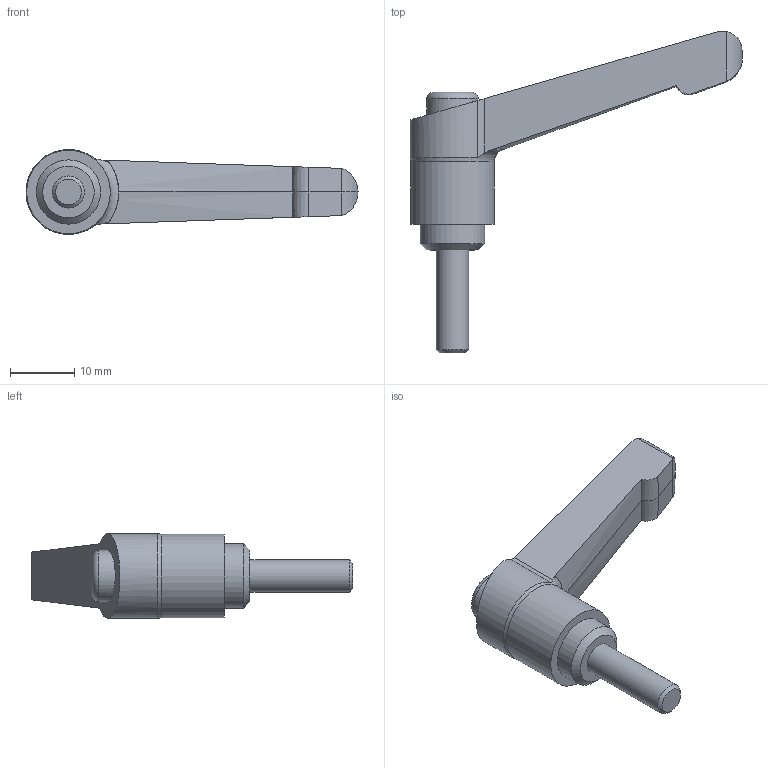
import cadquery as cq
import math


STUD_RADIUS = 2.5
STUD_TIP_Y = -20.0
STUD_CHAMFER = 0.5
COLLAR_RADIUS = 5.0
COLLAR_HEIGHT = 4.0
COLLAR_CHAMFER = 1.0

LOWER_HUB_RADIUS = 6.5
UPPER_HUB_RADIUS = 6.6
FLARE_START_Y = 9.7
FLARE_RADIUS = 2.0

BUTTON_RADIUS = 4.0
BUTTON_TOP_Y = 20.5
BUTTON_FILLET = 1.0

TIP_X = 45.0
TOP_Y_AT_AXIS = 18.1
TOP_SLOPE = math.radians(16)
RIDGE_SLOPE = math.radians(20)
HALF_WIDTH_AT_AXIS = 5.15
SIDE_TAPER = math.radians(2)
TIP_PLAN_RADIUS = 4.0
TIP_TOP_FILLET = 3.0
HUB_SIDE_FILLET = 2.0
SIDE_EDGE_RISE_AT_AXIS = 0.72
SIDE_EDGE_RISE_AT_PAD = 0.08

PAD_NOSE_RADIUS = 2.0
PAD_END_RADIUS = 4.0
PAD_CENTER_X = 36.7
PAD_CENTER_Y = 22.1
PAD_DRAFT_DEGREES = 1.5
PAD_END_CLEARANCE = 0.05

OVERRUN = 5.0
CEILING_Y = TOP_Y_AT_AXIS + (TIP_X + OVERRUN) * math.tan(TOP_SLOPE)

FLARE_END_X = LOWER_HUB_RADIUS + FLARE_RADIUS * (1 - math.sin(RIDGE_SLOPE))
FLARE_END_Y = FLARE_START_Y + FLARE_RADIUS * math.cos(RIDGE_SLOPE)
FLARE_MID_ANGLE = (math.pi / 2 - RIDGE_SLOPE) / 2

PAD_FLAT_X = PAD_CENTER_X + PAD_NOSE_RADIUS * math.sin(RIDGE_SLOPE)
PAD_FLAT_Y = PAD_CENTER_Y - PAD_NOSE_RADIUS * math.cos(RIDGE_SLOPE)


def top_y(x):
    return TOP_Y_AT_AXIS + x * math.tan(TOP_SLOPE)


def ridge_y(x):
    return FLARE_END_Y + (x - FLARE_END_X) * math.tan(RIDGE_SLOPE)


def pad_flat_y(x):
    return PAD_FLAT_Y + (x - PAD_FLAT_X) * math.tan(RIDGE_SLOPE)


def half_width(x):
    return HALF_WIDTH_AT_AXIS - x * math.tan(SIDE_TAPER)


def cylinder_along_y(radius, start_y, end_y):
    axis = cq.Vector(0, 1, 0)
    base = cq.Vector(0, start_y, 0)
    return cq.Workplane(cq.Solid.makeCylinder(radius, end_y - start_y, base, axis))


def make_stud():
    collar = cylinder_along_y(COLLAR_RADIUS, -COLLAR_HEIGHT, FLARE_START_Y)
    collar = collar.faces("<Y").chamfer(COLLAR_CHAMFER)
    stud = cylinder_along_y(STUD_RADIUS, STUD_TIP_Y, 0)
    return collar.union(stud.faces("<Y").chamfer(STUD_CHAMFER))


def make_button():
    button = cylinder_along_y(BUTTON_RADIUS, FLARE_START_Y, BUTTON_TOP_Y)
    return button.faces(">Y").edges().fillet(BUTTON_FILLET)


def make_plan_prism():
    """Outline of hub and arm seen along Y, extruded over the full height."""
    tip_center_x = TIP_X - TIP_PLAN_RADIUS
    side_distance = half_width(tip_center_x) * math.cos(SIDE_TAPER)
    corner_angle = math.asin(side_distance / TIP_PLAN_RADIUS) - SIDE_TAPER
    corner_x = tip_center_x + TIP_PLAN_RADIUS * math.cos(corner_angle)
    arm = (
        cq.Workplane("XZ")
        .moveTo(0, -half_width(0))
        .lineTo(corner_x, -half_width(corner_x))
        .threePointArc((TIP_X, 0), (corner_x, half_width(corner_x)))
        .lineTo(0, half_width(0))
        .close()
        .extrude(-CEILING_Y)
    )
    hub = cylinder_along_y(UPPER_HUB_RADIUS, 0, CEILING_Y)
    box_start = (0, 0, -UPPER_HUB_RADIUS)
    box_end = (UPPER_HUB_RADIUS, CEILING_Y, UPPER_HUB_RADIUS)
    arm_roots = cq.selectors.BoxSelector(box_start, box_end)
    return hub.union(arm).edges("|Y").edges(arm_roots).fillet(HUB_SIDE_FILLET)


def make_side_prism():
    """Sloped top and rounded upper tip corner of the arm, extruded across the full width."""
    start_x = -UPPER_HUB_RADIUS - OVERRUN
    return (
        cq.Workplane("XY")
        .moveTo(start_x, -OVERRUN)
        .lineTo(TIP_X, -OVERRUN)
        .lineTo(TIP_X, top_y(TIP_X))
        .lineTo(start_x, top_y(start_x))
        .close()
        .extrude(UPPER_HUB_RADIUS + OVERRUN, both=True)
        .edges("|Z and >X")
        .edges(">Y")
        .fillet(TIP_TOP_FILLET)
    )


def make_flared_hub():
    """Lower hub with its flare, carried up to the ceiling."""
    arc_mid_x = LOWER_HUB_RADIUS + FLARE_RADIUS * (1 - math.cos(FLARE_MID_ANGLE))
    arc_mid_y = FLARE_START_Y + FLARE_RADIUS * math.sin(FLARE_MID_ANGLE)
    return (
        cq.Workplane("XY")
        .lineTo(LOWER_HUB_RADIUS, 0)
        .lineTo(LOWER_HUB_RADIUS, FLARE_START_Y)
        .threePointArc((arc_mid_x, arc_mid_y), (FLARE_END_X, FLARE_END_Y))
        .lineTo(FLARE_END_X, CEILING_Y)
        .lineTo(0, CEILING_Y)
        .close()
        .revolve(360, (0, 0), (0, 1))
    )


def shank_section(x, edge_rise):
    """Wire across the arm: a shallow V below, open up to the ceiling."""
    width = half_width(x)
    low = ridge_y(x)
    corners = [
        (low, 0),
        (low + edge_rise, width),
        (CEILING_Y, width),
        (CEILING_Y, -width),
        (low + edge_rise, -width),
    ]
    return cq.Wire.makePolygon([cq.Vector(x, y, z) for y, z in corners], close=True)


def make_shank():
    sections = [
        shank_section(0, SIDE_EDGE_RISE_AT_AXIS),
        shank_section(PAD_CENTER_X, SIDE_EDGE_RISE_AT_PAD),
    ]
    return cq.Workplane(cq.Solid.makeLoft(sections, True))


def point_on_circle(center, radius, angle):
    return (center[0] + radius * math.cos(angle), center[1] + radius * math.sin(angle))


def make_pad():
    """Finger pad with round nose and end, drafted to both sides from the middle plane."""
    flat_angle = RIDGE_SLOPE - math.pi / 2
    nose_center = (PAD_CENTER_X, PAD_CENTER_Y)
    nose_start = (PAD_CENTER_X - PAD_NOSE_RADIUS, PAD_CENTER_Y)
    nose_mid_angle = (flat_angle - math.pi) / 2

    end_x = TIP_X + PAD_END_CLEARANCE
    end_center_x = end_x - PAD_END_RADIUS
    end_center_y = pad_flat_y(end_center_x) + PAD_END_RADIUS / math.cos(RIDGE_SLOPE)
    end_center = (end_center_x, end_center_y)

    half = (
        cq.Workplane("XY")
        .moveTo(*nose_start)
        .threePointArc(
            point_on_circle(nose_center, PAD_NOSE_RADIUS, nose_mid_angle),
            (PAD_FLAT_X, PAD_FLAT_Y),
        )
        .lineTo(*point_on_circle(end_center, PAD_END_RADIUS, flat_angle))
        .threePointArc(
            point_on_circle(end_center, PAD_END_RADIUS, flat_angle / 2),
            (end_x, end_center_y),
        )
        .lineTo(end_x, CEILING_Y + OVERRUN)
        .lineTo(nose_start[0], CEILING_Y + OVERRUN)
        .close()
        .extrude(HALF_WIDTH_AT_AXIS, taper=PAD_DRAFT_DEGREES)
    )
    return half.union(half.mirror("XY"))


def make_handle():
    body = make_flared_hub().union(make_shank()).union(make_pad())
    return body.intersect(make_plan_prism()).intersect(make_side_prism())


result = make_handle().union(make_stud()).union(make_button())